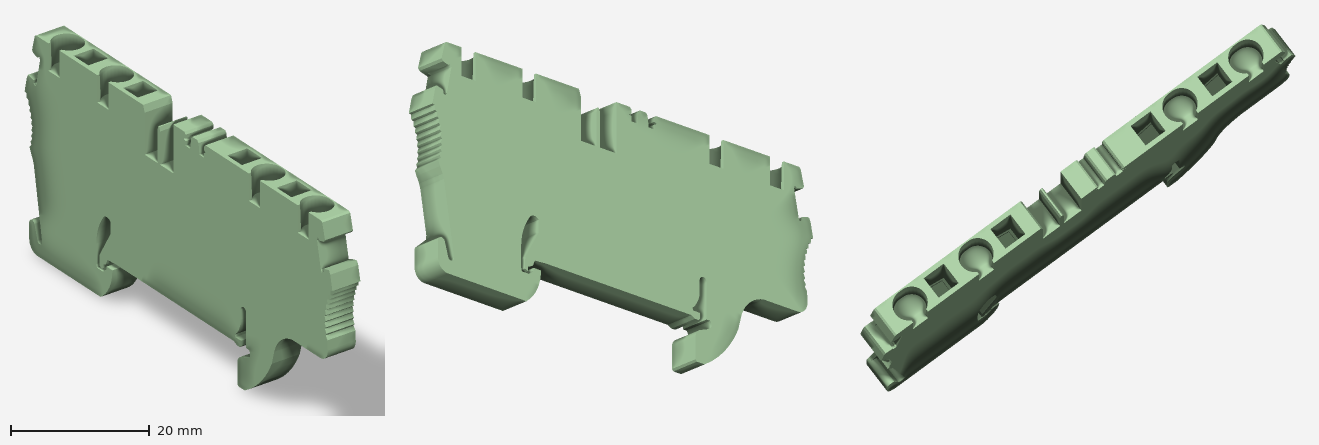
import cadquery as cq
import math

LENGTH = 74.75
THICKNESS = 5.0
HEIGHT = 36.0
HALF_LENGTH = LENGTH / 2
FRONT = -THICKNESS / 2
BACK = THICKNESS / 2
WEB = 0.7

TOOTH_COUNT = 9
TOOTH_TOP_Z = 25.6
TOOTH_BOTTOM_Z = 17.05
TOOTH_ARC_RADIUS = 10.5
TOOTH_ARC_Z = 20.0
TOOTH_DEPTH = 0.3
TOOTH_VALLEY = 0.3

ENTRY_X = (18.4, 30.3)
ENTRY_WIDTH = 5.2
ENTRY_DEPTH_Y = 4.6
ENTRY_OPENING = 2.7
ENTRY_DEPTH = 4.5
ENTRY_TAPER = 2.0
POCKET_X = (12.6, 24.7)
POCKET_SIZE = 3.6
POCKET_DEPTH = 7.5
POCKET_FLOOR_ANGLE = 32.0
POCKET_RECESS = 0.4
POCKET_RIM_X = 0.45
POCKET_RIM_Y = 0.2

BAY_LEFT = -8.2
BAY_RIGHT = -1.3
BAY_FLOOR = 28.0
BAY_BEVEL_X = 0.4
BAY_BEVEL_Z = 1.1
BLADE_X = -4.8
BLADE_WIDTH = 0.7
BLADE_TOP = 34.15
BLADE_SHOULDER = 33.5
BLADE_TIP_WIDTH = 0.2

LABEL_X = 3.95
LABEL_INNER = 0.9
LABEL_OUTER = 2.25
LABEL_SPREAD = 0.2
LABEL_FLOOR = 33.85
LABEL_BARB = 0.45
LABEL_BARB_Z = 34.8
LABEL_BEVEL_X = 0.3
LABEL_BEVEL_Z = 0.4

FOOT_RADIUS = 1.95
FOOT_LEFT = -36.25


def extrude(profile, y_start=FRONT, y_end=BACK):
    """Extrude a closed XZ profile between two Y positions."""
    return profile.extrude(-(y_end - y_start)).translate((0, y_start, 0))


def plate(points, y_start=FRONT, y_end=BACK):
    """Extrude a straight-sided XZ outline between two Y positions."""
    return extrude(cq.Workplane("XZ").polyline(points).close(), y_start, y_end)


def mirrored(points):
    """Reflect XZ points about the middle of the part."""
    return [(-x, z) for x, z in points]


def tooth_points():
    """Tips and valleys on the right end, from top to bottom."""
    start = math.asin((TOOTH_TOP_Z - TOOTH_ARC_Z) / TOOTH_ARC_RADIUS)
    end = math.asin((TOOTH_BOTTOM_Z - TOOTH_ARC_Z) / TOOTH_ARC_RADIUS)
    centre_x = HALF_LENGTH + TOOTH_ARC_RADIUS * math.cos(start)
    pitch = (end - start) / TOOTH_COUNT

    def on_arc(angle, radius):
        return (centre_x - radius * math.cos(angle), TOOTH_ARC_Z + radius * math.sin(angle))

    points = []
    for i in range(TOOTH_COUNT):
        tip = start + i * pitch
        points.append(on_arc(tip, TOOTH_ARC_RADIUS))
        points.append(on_arc(tip + TOOTH_VALLEY * pitch, TOOTH_ARC_RADIUS + TOOTH_DEPTH))
    points.append(on_arc(end, TOOTH_ARC_RADIUS))
    return points


END_EDGE = [
    (34.6, HEIGHT), (34.9, 35.8), (35.6, 33.2), (35.3, 32.8), (33.6, 32.35),
    (34.5, 28.0), (35.3, 28.4), (36.55, 28.7), (36.85, 28.1),
] + tooth_points()


def make_body():
    """Outer outline, with the space between the feet still filled."""
    left_edge = mirrored(END_EDGE)[::-1]
    corner_mid = FOOT_RADIUS * (1 - math.sqrt(0.5))
    profile = (
        cq.Workplane("XZ")
        .moveTo(FOOT_LEFT + FOOT_RADIUS, 0)
        .threePointArc((FOOT_LEFT + corner_mid, corner_mid), (FOOT_LEFT, FOOT_RADIUS))
        .lineTo(FOOT_LEFT, 4.7)
        .threePointArc((-35.6, 5.3), (-35.0, 4.9))
        .lineTo(-34.2, 2.5)
        .threePointArc((-33.7, 2.2), (-33.1, 2.8))
        .lineTo(-35.1, 14.5)
        .lineTo(-35.35, 15.25)
        .lineTo(-35.9, 16.3)
    )
    for point in left_edge + END_EDGE:
        profile = profile.lineTo(*point)
    profile = (
        profile
        .lineTo(36.25, 15.4)
        .threePointArc((35.7, 14.0), (34.3, 13.4))
        .lineTo(27.65, 13.4)
        .threePointArc((24.9, 12.1), (23.25, 9.5))
        .lineTo(22.65, 7.25)
        .threePointArc((20.0, 3.2), (16.1, 0))
        .close()
    )
    return extrude(profile)


def make_rail_space():
    """Space for the mounting rail, with the relief gap behind each foot."""
    profile = (
        cq.Workplane("XZ")
        .moveTo(-18.9, 0)
        .threePointArc((-17.05, 2.0), (-16.1, 5.6))
        .lineTo(-17.5, 5.6)
        .lineTo(-17.5, 5.15)
        .lineTo(-18.3, 4.4)
        .lineTo(-19.8, 4.4)
        .lineTo(-19.95, 4.9)
        .lineTo(-19.95, 8.3)
        .threePointArc((-19.35, 11.35), (-18.15, 13.45))
        .threePointArc((-17.35, 13.75), (-16.5, 13.4))
        .lineTo(-16.5, 11.35)
        .lineTo(-19.1, 6.9)
        .lineTo(-19.2, 5.0)
        .lineTo(-18.6, 4.8)
        .lineTo(-18.6, 5.45)
        .lineTo(-17.65, 5.9)
        .lineTo(-17.3, 6.8)
        .lineTo(-15.1, 6.95)
        .lineTo(13.45, 6.95)
        .lineTo(14.2, 6.6)
        .lineTo(14.9, 6.6)
        .lineTo(15.2, 6.9)
        .lineTo(15.2, 7.8)
        .lineTo(13.8, 7.8)
        .lineTo(13.7, 8.15)
        .threePointArc((14.7, 9.5), (15.1, 11.2))
        .lineTo(15.1, 12.85)
        .threePointArc((15.8, 13.5), (16.45, 12.85))
        .lineTo(16.45, 7.1)
        .lineTo(17.1, 7.1)
        .threePointArc((17.4, 6.5), (17.1, 5.8))
        .lineTo(15.1, 5.1)
        .threePointArc((14.5, 4.55), (14.3, 3.8))
        .lineTo(14.3, 0.3)
        .lineTo(14.6, 0)
        .close()
    )
    return extrude(profile)


def make_hook_web():
    """Thin web bridging the hook slot at the back."""
    return plate([(-35.8, 5.3), (-34.0, 6.9), (-33.9, 7.6), (-33.0, 2.6), (-34.1, 2.2)], BACK - WEB, BACK)


def make_marker_slits(side):
    """Undercuts in the corners of a marker notch, closed by the web at the back."""
    upper = [(33.6, 32.35), (33.8, 32.9), (34.4, 32.4), (34.3, 32.2)]
    lower = [(34.5, 27.95), (34.75, 27.6), (35.2, 27.9), (35.3, 28.55)]
    slits = plate([(side * x, z) for x, z in upper], FRONT, BACK - WEB)
    return slits.union(plate([(side * x, z) for x, z in lower], FRONT, BACK - WEB))


def make_entry(x):
    """Tapered, rounded conductor entry, open to the front through a narrower slit."""
    hole = (
        cq.Workplane("XY", origin=(x, 0, HEIGHT))
        .slot2D(ENTRY_WIDTH, ENTRY_DEPTH_Y)
        .extrude(-ENTRY_DEPTH, taper=ENTRY_TAPER)
    )
    left = x - ENTRY_OPENING / 2
    right = x + ENTRY_OPENING / 2
    floor = HEIGHT - ENTRY_DEPTH
    slit = plate([(left, floor), (right, floor), (right, HEIGHT), (left, HEIGHT)], FRONT, 0)
    return hole.union(slit)


def make_pocket(x):
    """Square test pocket of the right half, with a recessed, sloping floor."""
    outer = x + POCKET_SIZE / 2
    slope = math.tan(math.radians(POCKET_FLOOR_ANGLE))

    def well(length, width, depth):
        inner = outer - length
        outer_z = HEIGHT - depth
        outline = [(outer, HEIGHT), (outer, outer_z), (inner, outer_z - length * slope), (inner, HEIGHT)]
        return plate(outline, -width / 2, width / 2)

    shaft = well(POCKET_SIZE, POCKET_SIZE, POCKET_DEPTH)
    recess = well(
        POCKET_SIZE - POCKET_RIM_X,
        POCKET_SIZE - 2 * POCKET_RIM_Y,
        POCKET_DEPTH + POCKET_RECESS,
    )
    return shaft.union(recess)


def make_bay():
    """Central bay with a bevelled left edge."""
    return plate([
        (BAY_LEFT, BAY_FLOOR), (BAY_RIGHT, BAY_FLOOR), (BAY_RIGHT, HEIGHT),
        (BAY_LEFT - BAY_BEVEL_X, HEIGHT), (BAY_LEFT, HEIGHT - BAY_BEVEL_Z),
    ])


def make_blade():
    """Upright blade with a tapered tip."""
    half = BLADE_WIDTH / 2
    tip = BLADE_TIP_WIDTH / 2
    return plate([
        (BLADE_X - half, BAY_FLOOR), (BLADE_X - half, BLADE_SHOULDER), (BLADE_X - tip, BLADE_TOP),
        (BLADE_X + tip, BLADE_TOP), (BLADE_X + half, BLADE_SHOULDER), (BLADE_X + half, BAY_FLOOR),
    ])


def make_label_notch(side):
    """One label notch with a barb groove in its outer wall and bevelled lips."""
    bevel_z = HEIGHT - LABEL_BEVEL_Z
    outline = [
        (LABEL_INNER + LABEL_SPREAD, LABEL_FLOOR), (LABEL_INNER, bevel_z),
        (LABEL_INNER - LABEL_BEVEL_X, HEIGHT), (LABEL_OUTER + LABEL_BEVEL_X, HEIGHT), (LABEL_OUTER, bevel_z),
        (LABEL_OUTER, LABEL_BARB_Z + LABEL_BARB / 2), (LABEL_OUTER + LABEL_BARB, LABEL_BARB_Z),
        (LABEL_OUTER, LABEL_BARB_Z - LABEL_BARB / 2), (LABEL_OUTER, LABEL_FLOOR),
    ]
    return plate([(LABEL_X + side * x, z) for x, z in outline])


result = make_body().cut(make_rail_space()).union(make_hook_web())
result = result.cut(make_bay()).union(make_blade())

for side in (-1, 1):
    result = result.cut(make_marker_slits(side)).cut(make_label_notch(side))
    for entry_x in ENTRY_X:
        result = result.cut(make_entry(side * entry_x))

for pocket_x in POCKET_X:
    pocket = make_pocket(pocket_x)
    result = result.cut(pocket).cut(pocket.mirror("YZ"))